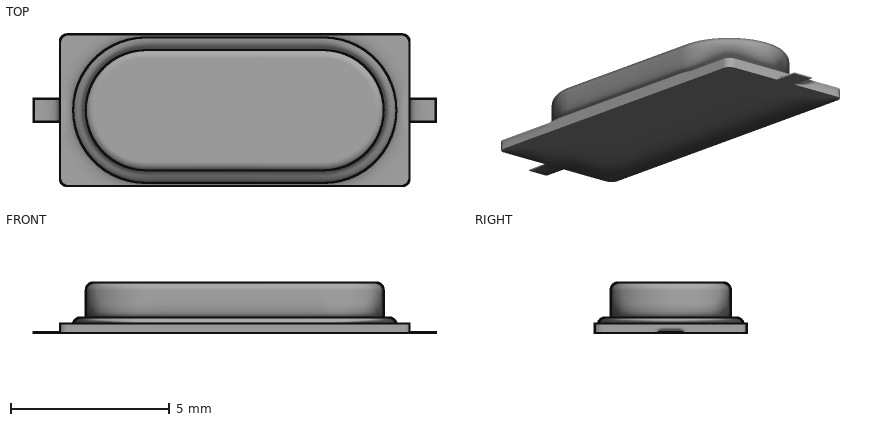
import cadquery as cq

overall_length = 12.7
overall_height = 1.6

base_length = 11.05
base_width = 4.8
base_height = 0.3
base_corner_radius = 0.25

arc_center_spacing = 5.61
can_width = 3.8
can_top_radius = 0.25
flange_width = 4.61
flange_height = 0.19
flange_edge_radius = 0.25

lead_length = (overall_length - base_length) / 2
lead_width = 0.74
lead_thickness = 0.04

flange_top = base_height + flange_height


def stadium(width, bottom, top):
    """Round-ended block along X, centred on the origin."""
    return (
        cq.Workplane("XY")
        .workplane(offset=bottom)
        .slot2D(arc_center_spacing + width, width)
        .extrude(top - bottom)
    )


def make_base():
    """Flat plate with rounded vertical corners."""
    return (
        cq.Workplane("XY")
        .rect(base_length, base_width)
        .extrude(base_height)
        .edges("|Z")
        .fillet(base_corner_radius)
    )


def make_flange():
    """Round-edged flange whose rounding is cut off flat at the top of the base."""
    rounded = stadium(flange_width, 0, flange_top).faces(">Z").edges().fillet(flange_edge_radius)
    below_base_top = cq.Workplane("XY").rect(base_length, base_width).extrude(base_height)
    return rounded.cut(below_base_top)


def make_can():
    """Cover standing on the flange, with a rounded top edge."""
    return stadium(can_width, flange_top, overall_height).faces(">Z").edges().fillet(can_top_radius)


def make_lead(side):
    """Thin strip butting against one end of the base; side is -1 or +1 along X."""
    lead_center_x = side * (base_length + lead_length) / 2
    return (
        cq.Workplane("XY")
        .center(lead_center_x, 0)
        .rect(lead_length, lead_width)
        .extrude(lead_thickness)
    )


base = make_base()
flange = make_flange()
can = make_can()
leads = [make_lead(side) for side in (-1, 1)]
result = cq.Compound.makeCompound(
    [base.solids().val(), flange.solids().val(), can.solids().val(), *[lead.solids().val() for lead in leads]]
)